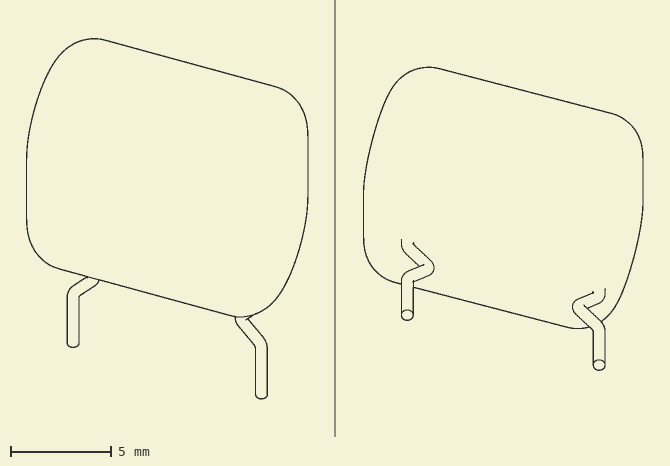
import cadquery as cq
import math

total_height = 21.4
body_length = 13.0
body_thickness = 8.7
body_height = 13.4
body_edge_radius = 2.0

lead_pitch = 10.0
lead_diameter = 0.6
lead_embed = 1.07
collar_radius = 0.5

kink_center_height = 5.45
kink_half_height = 1.6
kink_depth = 1.2
shoulder_bend_radius = 1.0
apex_bend_radius = 0.5

body_bottom = total_height - body_height
body_center_height = body_bottom + body_height / 2
kink_angle = math.atan2(kink_depth, kink_half_height)


def make_body():
    """Stadium profile extruded along X, with both end outlines rounded."""
    profile = (
        cq.Workplane("YZ", origin=(-body_length / 2, 0, body_center_height))
        .slot2D(body_height, body_thickness, 90)
    )
    return profile.extrude(body_length).faces("<X or >X").edges().fillet(body_edge_radius)


def lead_path():
    """Centre line of the left lead, from its bottom tip up into the body."""
    lead_x = -lead_pitch / 2
    sin_kink = math.sin(kink_angle)
    cos_kink = math.cos(kink_angle)

    shoulder_tangent = shoulder_bend_radius * math.tan(kink_angle / 2)
    shoulder_mid_x = lead_x + shoulder_bend_radius * (1 - math.cos(kink_angle / 2))
    shoulder_end_x = lead_x + shoulder_tangent * sin_kink

    shoulder_start = kink_half_height + shoulder_tangent
    shoulder_mid = shoulder_start - shoulder_bend_radius * math.sin(kink_angle / 2)
    shoulder_end = kink_half_height - shoulder_tangent * cos_kink

    apex_end = apex_bend_radius * sin_kink
    apex_end_x = lead_x + kink_depth - apex_end * math.tan(kink_angle)
    apex_mid_x = apex_end_x + apex_bend_radius * (1 - cos_kink)

    mid = kink_center_height
    return (
        cq.Workplane("XZ")
        .moveTo(lead_x, 0)
        .lineTo(lead_x, mid - shoulder_start)
        .threePointArc((shoulder_mid_x, mid - shoulder_mid), (shoulder_end_x, mid - shoulder_end))
        .lineTo(apex_end_x, mid - apex_end)
        .threePointArc((apex_mid_x, mid), (apex_end_x, mid + apex_end))
        .lineTo(shoulder_end_x, mid + shoulder_end)
        .threePointArc((shoulder_mid_x, mid + shoulder_mid), (lead_x, mid + shoulder_start))
        .lineTo(lead_x, body_bottom + lead_embed)
    )


def make_left_lead():
    """Round wire swept along the kinked centre line."""
    tip = cq.Workplane("XY", origin=(-lead_pitch / 2, 0, 0))
    return tip.circle(lead_diameter / 2).sweep(lead_path())


def root_edges(part):
    """Edges where the leads enter the rounded underside of the body."""
    margin = 0.05
    reach = lead_diameter / 2 + margin
    root_box = cq.selectors.BoxSelector(
        (-lead_pitch / 2 - reach, -reach, body_bottom - margin),
        (lead_pitch / 2 + reach, reach, body_bottom + lead_embed),
        boundingbox=True,
    )
    return part.edges(root_box)


left_lead = make_left_lead()
right_lead = left_lead.mirror("YZ")
capacitor = make_body().union(left_lead).union(right_lead)
result = root_edges(capacitor).fillet(collar_radius)